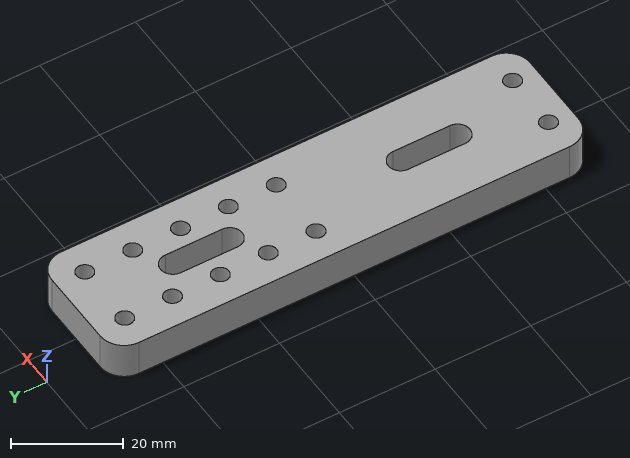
import cadquery as cq

length = 100.0
width = 26.1
thickness = 8.0
corner_radius = 5.0

hole_diameter = 3.5
grid_rows = 5
grid_pitch = 10.0
grid_spacing = 13.3
grid_center_y = 24.0
end_pair_spacing = 12.0
end_pair_y = -45.0

slot_length = 17.0
slot_width = 5.1
slot_offset = 23.8


def make_plate():
    """Flat plate with rounded vertical corners, resting on Z = 0."""
    plate = cq.Workplane("XY").box(width, length, thickness, centered=(True, True, False))
    return plate.edges("|Z").fillet(corner_radius)


def make_hole_cutters():
    """Two-column hole grid plus a pair of holes near the -Y end."""
    grid = (
        cq.Workplane("XY")
        .center(0, grid_center_y)
        .rarray(grid_spacing, grid_pitch, 2, grid_rows)
        .circle(hole_diameter / 2)
        .extrude(thickness)
    )
    end_pair = (
        cq.Workplane("XY")
        .center(0, end_pair_y)
        .rarray(end_pair_spacing, 1, 2, 1)
        .circle(hole_diameter / 2)
        .extrude(thickness)
    )
    return grid.union(end_pair)


def make_slot_cutters():
    """Two slots along Y, mirrored about the middle of the plate."""
    return (
        cq.Workplane("XY")
        .pushPoints([(0, slot_offset), (0, -slot_offset)])
        .slot2D(slot_length, slot_width, 90)
        .extrude(thickness)
    )


result = make_plate().cut(make_hole_cutters()).cut(make_slot_cutters())